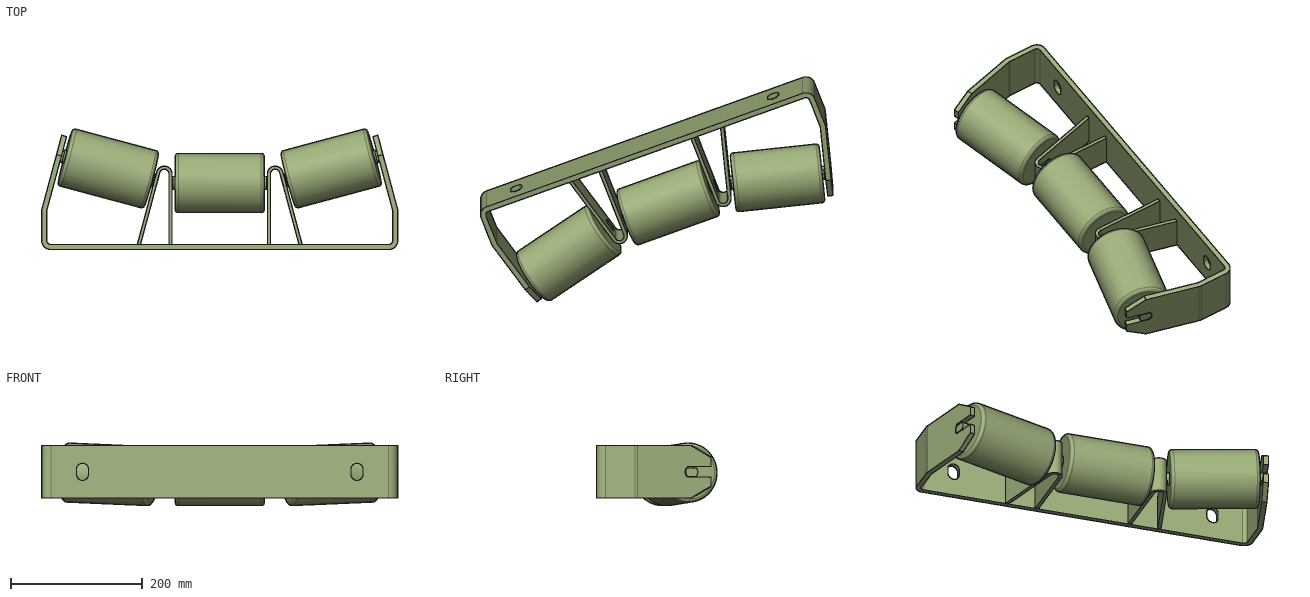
import cadquery as cq
import math

LEAN = 15.0
COS_LEAN = math.cos(math.radians(LEAN))
SIN_LEAN = math.sin(math.radians(LEAN))
TAN_HALF_LEAN = math.tan(math.radians(LEAN / 2))

FRAME_LENGTH = 540.0
FRAME_HEIGHT = 80.0
FRAME_THICKNESS = 8.0
FRAME_INNER_RADIUS = 6.0
FRAME_OUTER_RADIUS = FRAME_INNER_RADIUS + FRAME_THICKNESS
BEND_Y = 60.3
WING_LENGTH = 117.3
MID_Z = FRAME_HEIGHT / 2

TIP_CHAMFER_LENGTH = 30.5
TIP_CHAMFER_HEIGHT = 17.5
SLOT_WIDTH = 16.0
SLOT_AXLE_DISTANCE = 29.6

MOUNT_SLOT_SPACING = 416.0
MOUNT_SLOT_HEIGHT = 26.0
MOUNT_SLOT_WIDTH = 18.0

BRACKET_THICKNESS = 5.0
BRACKET_INNER_RADIUS = 7.0
BRACKET_OUTER_RADIUS = BRACKET_INNER_RADIUS + BRACKET_THICKNESS
BRACKET_ROLLER_FACE_X = 72.0
BRACKET_TOP_Y = 126.8
BRACKET_HEIGHT = 55.5

ROLLER_DIAMETER = 90.0
ROLLER_LENGTH = 135.5
ROLLER_EDGE_RADIUS = 5.0
AXLE_DIAMETER = 20.0
AXLE_FLATS = 13.0
FLAT_START = 3.0
ROLLER_GAP = BRACKET_ROLLER_FACE_X - ROLLER_LENGTH / 2
EXTRA_WING_CLEARANCE = 1.0
WING_GAP = ROLLER_GAP + EXTRA_WING_CLEARANCE
BRACKET_REACH = ROLLER_GAP + BRACKET_THICKNESS
WING_REACH = WING_GAP + FRAME_THICKNESS

MIDDLE_ROLLER_Y = 101.0
MIDDLE_ROLLER_Z = 33.6
SIDE_ROLLER_X = 168.9
SIDE_ROLLER_Y = 123.1
SIDE_ROLLER_Z = 36.2
SIDE_ROLLER_RISE = 2.4


def mirrored_prism(left_points):
    """Full-height prism whose plan is the left-hand points and their mirror images."""
    right_points = [(-x, y) for x, y in reversed(left_points)]
    return cq.Workplane("XY").polyline(left_points + right_points).close().extrude(FRAME_HEIGHT)


BEND_X = -FRAME_LENGTH / 2
TIP_X = BEND_X + WING_LENGTH * SIN_LEAN
TIP_Y = BEND_Y + WING_LENGTH * COS_LEAN
INNER_TIP = (TIP_X + FRAME_THICKNESS * COS_LEAN, TIP_Y - FRAME_THICKNESS * SIN_LEAN)
INNER_WALL_X = BEND_X + FRAME_THICKNESS
INNER_BEND_Y = BEND_Y - FRAME_THICKNESS * TAN_HALF_LEAN


def bent_strip():
    """Constant-thickness strip with rounded base corners and wing bends."""
    wall_edges = cq.selectors.BoxSelector(
        (-FRAME_LENGTH, -FRAME_THICKNESS, 0), (FRAME_LENGTH, BEND_Y + FRAME_THICKNESS, FRAME_HEIGHT)
    )
    outer_points = [(BEND_X, 0), (BEND_X, BEND_Y), (TIP_X, TIP_Y), INNER_TIP]
    inner_points = [(INNER_WALL_X, FRAME_THICKNESS), (INNER_WALL_X, INNER_BEND_Y), INNER_TIP]
    outer = mirrored_prism(outer_points).edges("|Z").edges(wall_edges).fillet(FRAME_OUTER_RADIUS)
    inner = mirrored_prism(inner_points).edges("|Z").edges(wall_edges).fillet(FRAME_INNER_RADIUS)
    return outer.cut(inner)


def wing_tip_cutter():
    """Chamfers and open axle slot of the left wing; local X runs down the wing from its tip."""
    plane = cq.Plane(
        origin=(TIP_X, TIP_Y, MID_Z), xDir=(-SIN_LEAN, -COS_LEAN, 0), normal=(-COS_LEAN, SIN_LEAN, 0)
    )
    depth = 2 * FRAME_THICKNESS
    axle_radius = AXLE_DIAMETER / 2
    slot_length = SLOT_AXLE_DISTANCE + axle_radius
    open_slot = cq.Workplane(plane).rect(2 * SLOT_AXLE_DISTANCE, SLOT_WIDTH).extrude(depth, both=True)
    seat = cq.Workplane(plane).center(SLOT_AXLE_DISTANCE, 0).circle(axle_radius).extrude(depth, both=True)
    slot_band = cq.Workplane(plane).rect(2 * slot_length, SLOT_WIDTH).extrude(depth, both=True)
    cutter = open_slot.union(seat.intersect(slot_band))
    for side in (-1, 1):
        corner_points = [
            (0, side * MID_Z),
            (TIP_CHAMFER_LENGTH, side * MID_Z),
            (0, side * (MID_Z - TIP_CHAMFER_HEIGHT)),
        ]
        corner = cq.Workplane(plane).polyline(corner_points).close().extrude(depth, both=True)
        cutter = cutter.union(corner)
    return cutter


def make_frame():
    """Bent strip with both wing tips cut and two upright mounting slots in the base."""
    frame = bent_strip()
    cutter = wing_tip_cutter()
    frame = frame.cut(cutter).cut(cutter.mirror("YZ"))
    slots = (
        cq.Workplane("XZ", origin=(0, 0, MID_Z))
        .pushPoints([(-MOUNT_SLOT_SPACING / 2, 0), (MOUNT_SLOT_SPACING / 2, 0)])
        .slot2D(MOUNT_SLOT_HEIGHT, MOUNT_SLOT_WIDTH, 90)
        .extrude(-FRAME_THICKNESS)
    )
    return frame.cut(slots)


def make_left_bracket():
    """Hairpin standing on the base plate, before its axle holes are cut."""
    center_x = -BRACKET_ROLLER_FACE_X - BRACKET_OUTER_RADIUS
    center_y = BRACKET_TOP_Y - BRACKET_OUTER_RADIUS

    def prism(radius):
        """Solid bounded by one hairpin face, whose round top has the given radius."""
        tangent_x = center_x - radius * COS_LEAN
        tangent_y = center_y + radius * SIN_LEAN
        foot_x = tangent_x - (tangent_y - FRAME_THICKNESS) * SIN_LEAN / COS_LEAN
        return (
            cq.Workplane("XY")
            .moveTo(center_x + radius, FRAME_THICKNESS)
            .lineTo(center_x + radius, center_y)
            .threePointArc((center_x, center_y + radius), (tangent_x, tangent_y))
            .lineTo(foot_x, FRAME_THICKNESS)
            .close()
            .extrude(BRACKET_HEIGHT)
        )

    return prism(BRACKET_OUTER_RADIUS).cut(prism(BRACKET_INNER_RADIUS))


def axle_end(direction, reach):
    """Round axle stub that continues with two flats, top and bottom."""
    face = cq.Workplane("YZ", origin=(direction * ROLLER_LENGTH / 2, 0, 0))
    full_axle = face.circle(AXLE_DIAMETER / 2).extrude(direction * reach)
    between_flats = face.rect(AXLE_DIAMETER, AXLE_FLATS).extrude(direction * reach)
    collar = face.circle(AXLE_DIAMETER / 2).extrude(direction * FLAT_START)
    return full_axle.intersect(between_flats).union(collar)


def make_roller(left_reach, right_reach):
    """Roller and axle along X, centred on the origin."""
    half_length = ROLLER_LENGTH / 2
    shell = cq.Workplane("YZ", origin=(-half_length, 0, 0)).circle(ROLLER_DIAMETER / 2)
    shell = shell.extrude(ROLLER_LENGTH).edges().fillet(ROLLER_EDGE_RADIUS)
    return shell.union(axle_end(-1, left_reach)).union(axle_end(1, right_reach))


def make_left_roller():
    """Roller swung between the left wing and the slanted leg, rising outward."""
    return (
        make_roller(WING_REACH, BRACKET_REACH)
        .rotate((0, 0, 0), (0, 1, 0), SIDE_ROLLER_RISE)
        .rotate((0, 0, 0), (0, 0, 1), -LEAN)
        .translate((-SIDE_ROLLER_X, SIDE_ROLLER_Y, SIDE_ROLLER_Z))
    )


middle_roller = make_roller(BRACKET_REACH, BRACKET_REACH)
middle_roller = middle_roller.translate((0, MIDDLE_ROLLER_Y, MIDDLE_ROLLER_Z))
left_roller = make_left_roller()
right_roller = left_roller.mirror("YZ")

left_bracket = make_left_bracket().cut(left_roller).cut(middle_roller)
right_bracket = left_bracket.mirror("YZ")
frame = make_frame().cut(left_roller).cut(right_roller)

result = cq.Compound.makeCompound([
    frame.val(),
    left_bracket.val(),
    right_bracket.val(),
    middle_roller.val(),
    left_roller.val(),
    right_roller.val(),
])